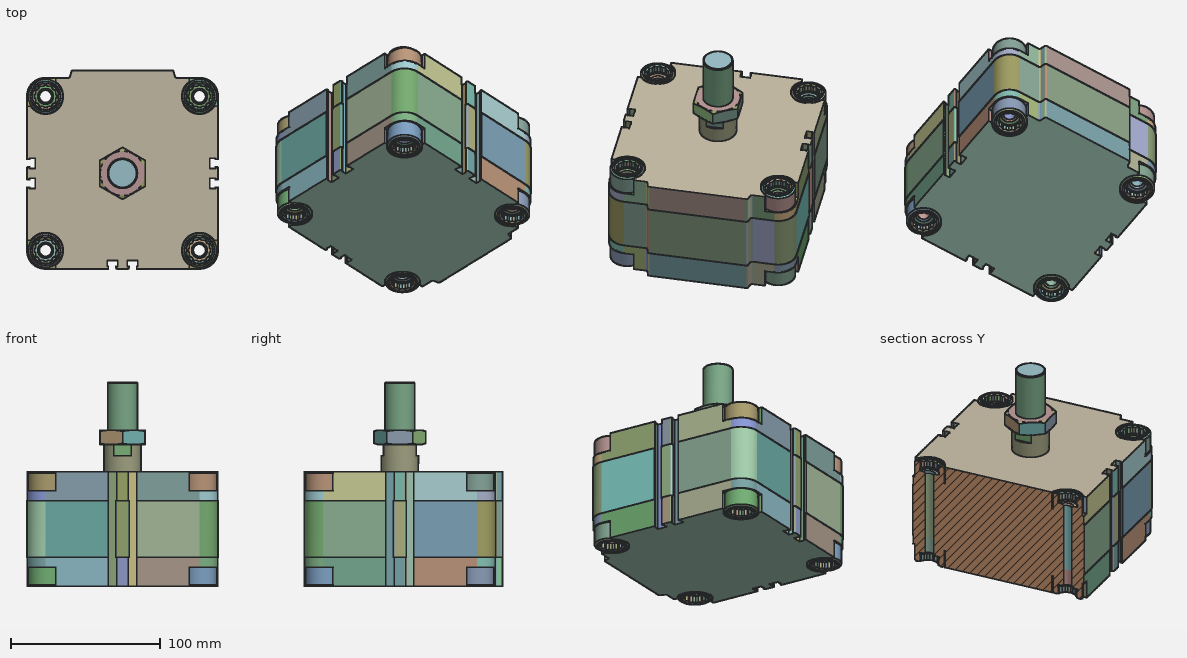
import cadquery as cq
import math

overall_height = 136.5
cap_height = 19.5
barrel_height = 37.5
nut_bottom = 94.7
nut_height = 9.7
flats_bottom = 87.4
housing_top = 2 * cap_height + barrel_height
rod_thread_length = overall_height - nut_bottom

half_width = 64.0
corner_radius = 12.5
screw_offset = half_width - corner_radius
cap_inset = 0.3
pad_rise = 4.9
pad_half_width = 34.0
pad_flank_run = 1.4
pad_fillet = 1.2

slot_depth = 5.6
slot_lip = 1.9
slot_inner_wall = 3.3
slot_outer_wall = 10.1
slot_outer_lip = 9.4
cap_rib_half = 3.8
cap_rib_rounding = 0.5
barrel_rib_half = 4.4
barrel_rib_rounding = 1.1
face_turns = (0, 90, -90)
cut_margin = 1.4

pocket_depth = 12.5
pocket_radius = 11.9
pocket_notch = 6.7
head_radius = 11.5
head_chamfer_width = 1.4
head_chamfer_height = 1.0
countersink_radius = 8.9
socket_mouth_radius = 6.5
countersink_depth = 0.8
bihex_corner_radius = 7.71
bihex_depth = 5.5
hexagon_half_pitch = 30
socket_depth = 7.0
undercut_radius = 7.71
bore_mouth_radius = 5.25
bore_radius = 4.1

rod_diameter = 25.0
thread_diameter = 20.0
rod_chamfer = 0.7
rod_across_flats = 22.0
nut_across_flats = 30.2
nut_corner_radius = nut_across_flats / math.sqrt(3)
nut_face_radius = 14.9
nut_chamfer_height = 0.8


def screw_axes(part):
    """Put a workplane point on each of the four screw axes."""
    return part.rect(2 * screw_offset, 2 * screw_offset, forConstruction=True).vertices()


def housing_section(height, inset, rib_half, rib_rounding):
    """Slotted housing length: rounded square, pad along the back, T-slots in three faces."""
    face = half_width - inset
    pad_top = face + pad_rise
    block = (
        cq.Workplane("XY")
        .rect(2 * face, 2 * face)
        .extrude(height)
        .edges("|Z")
        .fillet(corner_radius - inset)
    )
    pad_base = pad_half_width + pad_flank_run
    pad = (
        cq.Workplane("XY")
        .polyline([
            (-pad_base, 0),
            (pad_base, 0),
            (pad_base, face),
            (pad_half_width, pad_top),
            (-pad_half_width, pad_top),
            (-pad_base, face),
        ])
        .close()
        .extrude(height)
    )
    block = block.union(pad)
    pad_edges = cq.selectors.BoxSelector(
        (-pad_base - cut_margin, face - cut_margin, 0),
        (pad_base + cut_margin, pad_top + cut_margin, height),
    )
    block = block.edges("|Z").edges(pad_edges).fillet(pad_fillet)
    for turn in face_turns:
        for slot in t_slot_pair(height, face, rib_half, rib_rounding):
            block = block.cut(slot.rotate((0, 0, 0), (0, 0, 1), turn))
    return block


def t_slot_pair(height, face, rib_half, rib_rounding):
    """Cutters for the two mirrored T-slots of the front face, with a rounded rib between."""
    floor = -half_width + slot_depth
    lip = -half_width + slot_lip
    outside = -half_width - cut_margin
    rounding_start = rib_half - rib_rounding
    arc_reach = rib_rounding * math.sqrt(0.5)
    slot = (
        cq.Workplane("XY")
        .moveTo(slot_inner_wall, floor)
        .lineTo(slot_outer_wall, floor)
        .lineTo(slot_outer_wall, lip)
        .lineTo(slot_outer_lip, lip)
        .lineTo(slot_outer_lip, outside)
        .lineTo(rounding_start, outside)
        .lineTo(rounding_start, -face)
        .threePointArc(
            (rounding_start + arc_reach, -face + rib_rounding - arc_reach),
            (rib_half, -face + rib_rounding),
        )
        .lineTo(rib_half, lip)
        .lineTo(slot_inner_wall, lip)
        .close()
        .extrude(height)
    )
    return slot, slot.mirror("YZ")


def screw_pocket():
    """Corner pocket of the +X +Y screw, open to both outer faces."""
    pocket_floor = cap_height - pocket_depth
    around_head = (
        cq.Workplane("XY", origin=(screw_offset, screw_offset, pocket_floor))
        .circle(pocket_radius)
        .extrude(pocket_depth)
    )
    notch_size = pocket_notch + corner_radius + cut_margin
    notch_start = screw_offset - pocket_notch
    corner_notch = cq.Workplane("XY").box(
        notch_size, notch_size, pocket_depth, centered=False
    ).translate((notch_start, notch_start, pocket_floor))
    return around_head.union(corner_notch)


def screw_head():
    """Hollow screw head on the Z axis with its top at Z = 0 and a twelve-point socket."""
    turned_head = (
        cq.Workplane("XZ")
        .polyline([
            (bore_radius, -pocket_depth),
            (head_radius, -pocket_depth),
            (head_radius, -head_chamfer_height),
            (head_radius - head_chamfer_width, 0),
            (countersink_radius, 0),
            (socket_mouth_radius, -countersink_depth),
            (socket_mouth_radius, -bihex_depth),
            (undercut_radius, -bihex_depth),
            (undercut_radius, -socket_depth),
            (bore_mouth_radius, -socket_depth),
            (bore_radius, -socket_depth - (bore_mouth_radius - bore_radius)),
        ])
        .close()
        .revolve(360, (0, 0, 0), (0, 1, 0))
    )
    hexagon = (
        cq.Workplane("XY")
        .workplane(offset=-bihex_depth)
        .polygon(6, 2 * bihex_corner_radius)
        .extrude(bihex_depth)
    )
    return turned_head.cut(hexagon).cut(hexagon.rotate((0, 0, 0), (0, 0, 1), hexagon_half_pitch))


def make_end_cap():
    """End cap with its screws, inner face at Z = 0 and outer face at Z = cap_height."""
    cap = housing_section(cap_height, cap_inset, cap_rib_half, cap_rib_rounding)
    pocket = screw_pocket()
    for corner in range(4):
        cap = cap.cut(pocket.rotate((0, 0, 0), (0, 0, 1), 90 * corner))
    cap = screw_axes(cap.faces("<Z").workplane(origin=(0, 0, 0))).circle(bore_radius).cutThruAll()
    head = screw_head()
    for x in (-screw_offset, screw_offset):
        for y in (-screw_offset, screw_offset):
            cap = cap.union(head.translate((x, y, cap_height)))
    return cap


def make_barrel():
    """Middle length of the housing, drilled through for the screws."""
    barrel = housing_section(barrel_height, 0, barrel_rib_half, barrel_rib_rounding)
    bores = screw_axes(cq.Workplane("XY")).circle(bore_radius).extrude(barrel_height)
    return barrel.cut(bores).translate((0, 0, cap_height))


def make_nut():
    """Hexagonal nut with its points along Y, chamfered at both ends."""
    hexagon = (
        cq.Workplane("XY", origin=(0, 0, nut_bottom))
        .polygon(6, 2 * nut_corner_radius)
        .extrude(nut_height)
        .rotate((0, 0, 0), (0, 0, 1), hexagon_half_pitch)
    )
    nut_top = nut_bottom + nut_height
    chamfer_envelope = (
        cq.Workplane("XZ")
        .polyline([
            (0, nut_bottom),
            (nut_face_radius, nut_bottom),
            (nut_corner_radius, nut_bottom + nut_chamfer_height),
            (nut_corner_radius, nut_top - nut_chamfer_height),
            (nut_face_radius, nut_top),
            (0, nut_top),
        ])
        .close()
        .revolve(360, (0, 0, 0), (0, 1, 0))
    )
    thread_hole = (
        cq.Workplane("XY", origin=(0, 0, nut_bottom))
        .circle(thread_diameter / 2)
        .extrude(nut_height)
    )
    return hexagon.intersect(chamfer_envelope).cut(thread_hole)


def make_piston_rod():
    """Rod with two wrench flats, and threaded end, standing on the front cap."""
    shank_height = nut_bottom - housing_top
    rod = (
        cq.Workplane("XY", origin=(0, 0, housing_top))
        .circle(rod_diameter / 2)
        .extrude(shank_height)
    )
    flats_height = nut_bottom - flats_bottom
    for side in (-1, 1):
        flat = cq.Workplane("XY", origin=(0, 0, flats_bottom)).box(
            rod_diameter, rod_diameter, flats_height, centered=(True, True, False)
        )
        rod = rod.cut(flat.translate((0, side * (rod_across_flats + rod_diameter) / 2, 0)))
    threaded_end = (
        cq.Workplane("XY", origin=(0, 0, nut_bottom))
        .circle(thread_diameter / 2)
        .extrude(rod_thread_length)
        .faces(">Z")
        .chamfer(rod_chamfer)
    )
    return rod.union(threaded_end)


def make_housing():
    """Barrel closed by mirrored front and rear caps, all one solid."""
    end_cap = make_end_cap()
    front_cap = end_cap.translate((0, 0, cap_height + barrel_height))
    rear_cap = end_cap.mirror("XY").translate((0, 0, cap_height))
    return make_barrel().union(front_cap).union(rear_cap).clean()


housing = make_housing()
piston_rod = make_piston_rod()
nut = make_nut()

result = cq.Compound.makeCompound([
    housing.val(),
    piston_rod.val(),
    nut.val(),
])